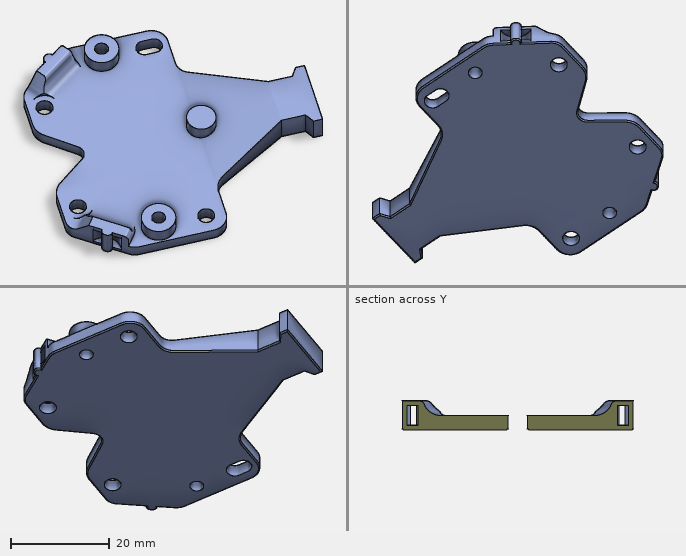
import cadquery as cq
import math

width = 51.7
length = 56.65
height = 6.0
plate_thickness = height / 2
half_width = width / 2
bottom_chamfer = 0.3

plate_rear_y = 32.05
plate_corner_radius = 3.5
side_corner_y = 11.65
front_corner_x = 17.35
front_corner_radius = 3.0
notch_foot_x = 7.4
notch_apex_y = 9.4
notch_apex_radius = 2.0
notch_foot_radius = 2 * notch_apex_radius

neck_half_width = 5.05
neck_front_y = 48.5
neck_flare_angle = math.radians(60)
flare_foot_x = neck_half_width + (neck_front_y - plate_rear_y) / math.tan(neck_flare_angle)
head_half_width = 6.95
head_taper_start_y = 53.55
head_taper_end_y = 54.7

boss_x = 21.9
boss_y = 17.95
boss_diameter = 7.0
boss_hole_diameter = 2.8
center_pin_y = 32.95
center_pin_diameter = 6.0
mount_hole_diameter = 3.4
rear_hole_y = 28.0
slot_length = 5.45
front_hole_x = 12.85
front_hole_y = 3.45
screw_head_clearance = 6.0

saddle_foot_v = 5.7
saddle_cove_radius = height - plate_thickness
saddle_edge_radius = 1.0
saddle_ramp_u = 8.65
ramp_angle = math.radians(45)
ramp_foot_radius = 3.0
saddle_overhang = 1.7
rib_center_u = 4.65
rib_radius = 1.0
rib_flat = 0.2
window_width = 6.25
window_margin_z = 1.0
window_radius = 3.5

edge_run = half_width - front_corner_x
edge_length = math.hypot(edge_run, side_corner_y)
edge_dx = edge_run / edge_length
edge_dy = -side_corner_y / edge_length
corner_turn = math.asin(edge_dx)
corner_tangent = plate_corner_radius * math.tan(corner_turn / 2)
edge_plane = cq.Plane(
    origin=(-half_width + corner_tangent * edge_dx, side_corner_y + corner_tangent * edge_dy, 0),
    xDir=(edge_dx, edge_dy, 0),
    normal=(0, 0, 1),
)


def both_sides(left):
    """Place a shape built in edge coordinates on the left edge and mirror it to the right."""
    placed = cq.Workplane(left.val().moved(cq.Location(edge_plane)))
    return placed.union(placed.mirror("YZ"))


def cylinders(points, diameter, bottom, top):
    """Upright cylinders at the given points."""
    base = cq.Workplane("XY", origin=(0, 0, bottom)).pushPoints(points)
    return base.circle(diameter / 2).extrude(top - bottom)


def outline_prism():
    """Full-height prism of the plan outline with all its rounded corners."""
    right_side = [
        (notch_foot_x, 0),
        (front_corner_x, 0),
        (half_width, side_corner_y),
        (half_width, plate_rear_y),
        (flare_foot_x, plate_rear_y),
        (neck_half_width, neck_front_y),
        (neck_half_width, head_taper_start_y),
        (head_half_width, head_taper_end_y),
        (head_half_width, length),
    ]
    left_side = [(-x, y) for x, y in reversed(right_side)]
    points = [(0, notch_apex_y)] + right_side + left_side
    prism = cq.Workplane("XY").polyline(points).close().extrude(height)

    rounded_corners = [
        (notch_foot_x, 0, notch_foot_radius),
        (front_corner_x, 0, front_corner_radius),
        (half_width, side_corner_y, plate_corner_radius),
        (half_width, plate_rear_y, plate_corner_radius),
        (flare_foot_x, plate_rear_y, plate_corner_radius),
    ]
    for x, y, radius in rounded_corners:
        for side in (-1, 1):
            corner = cq.selectors.NearestToPointSelector((side * x, y, height / 2))
            prism = prism.edges(corner).fillet(radius)
    apex = cq.selectors.NearestToPointSelector((0, notch_apex_y, height / 2))
    return prism.edges(apex).fillet(notch_apex_radius)


def plate_and_neck_envelope():
    """Side profile: flat plate, sloped flare and raised neck, wider than the part."""
    return (
        cq.Workplane("YZ")
        .polyline([
            (0, 0),
            (length, 0),
            (length, height),
            (neck_front_y, height),
            (plate_rear_y, plate_thickness),
            (0, plate_thickness),
        ])
        .close()
        .extrude(half_width, both=True)
    )


def rib():
    """Vertical rib standing out from the slanted edge, rounded to a narrow flat crest."""
    half_flat = rib_flat / 2
    return (
        cq.Workplane("XY")
        .center(rib_center_u, 0)
        .moveTo(-half_flat - rib_radius, 0)
        .radiusArc((-half_flat, -rib_radius), -rib_radius)
        .lineTo(half_flat, -rib_radius)
        .radiusArc((half_flat + rib_radius, 0), -rib_radius)
        .close()
        .extrude(height)
    )


def saddle_envelope():
    """Coved block along the slanted edge with a rounded rear end and a ramped front end."""
    ramp_foot_run = ramp_foot_radius * math.sin(ramp_angle)
    ramp_foot_rise = ramp_foot_radius * (1 - math.cos(ramp_angle))
    ramp_run = (height - plate_thickness - ramp_foot_rise) / math.tan(ramp_angle)
    ramp_end_u = saddle_ramp_u + ramp_run
    foot_end_u = ramp_end_u + ramp_foot_run
    half_angle = ramp_angle / 2
    foot_middle = (
        foot_end_u - ramp_foot_radius * math.sin(half_angle),
        plate_thickness + ramp_foot_radius * (1 - math.cos(half_angle)),
    )

    cove_top_v = saddle_foot_v - saddle_cove_radius
    cove_middle = (
        saddle_foot_v - saddle_cove_radius * math.cos(math.pi / 4),
        height - saddle_cove_radius * math.sin(math.pi / 4),
    )
    block = (
        cq.Workplane("YZ")
        .moveTo(-saddle_overhang, 0)
        .lineTo(saddle_foot_v, 0)
        .lineTo(saddle_foot_v, plate_thickness)
        .threePointArc(cove_middle, (cove_top_v, height))
        .lineTo(-saddle_overhang, height)
        .close()
        .extrude(foot_end_u)
    )
    top_edge = cq.selectors.NearestToPointSelector((foot_end_u / 2, cove_top_v, height))
    end_cove = cq.selectors.NearestToPointSelector((0, *cove_middle))
    block = block.edges(top_edge).fillet(saddle_edge_radius)
    block = block.edges(end_cove).fillet(saddle_edge_radius)

    ramp = (
        cq.Workplane("XZ")
        .moveTo(0, 0)
        .lineTo(foot_end_u, 0)
        .lineTo(foot_end_u, plate_thickness)
        .threePointArc(foot_middle, (ramp_end_u, plate_thickness + ramp_foot_rise))
        .lineTo(saddle_ramp_u, height)
        .lineTo(0, height)
        .close()
        .extrude(2 * saddle_foot_v, both=True)
    )
    return block.intersect(ramp)


def window():
    """Shallow round-backed recess behind the rib, which stays standing in front of it."""
    center_v = -math.sqrt(window_radius**2 - (window_width / 2) ** 2)
    return cylinders(
        [(rib_center_u, center_v)], 2 * window_radius, window_margin_z, height - window_margin_z
    ).cut(rib())


boss_points = [(-boss_x, boss_y), (boss_x, boss_y)]
front_hole_points = [(-front_hole_x, front_hole_y), (front_hole_x, front_hole_y)]
round_hole_points = front_hole_points + [(boss_x, rear_hole_y)]

saddles = both_sides(saddle_envelope()).cut(
    cylinders(front_hole_points, screw_head_clearance, plate_thickness, height)
)

body = outline_prism().union(both_sides(rib())).faces("<Z").chamfer(bottom_chamfer)
body = body.intersect(plate_and_neck_envelope().union(saddles))
body = body.cut(both_sides(window()))

body = body.union(cylinders(boss_points, boss_diameter, 0, height))
body = body.union(cylinders([(0, center_pin_y)], center_pin_diameter, 0, height))

body = body.cut(cylinders(boss_points, boss_hole_diameter, 0, height))
body = body.cut(cylinders(round_hole_points, mount_hole_diameter, 0, height))
slot_plan = cq.Workplane("XY").center(-boss_x, rear_hole_y).slot2D(slot_length, mount_hole_diameter, 90)
slot = slot_plan.extrude(height)
result = body.cut(slot)